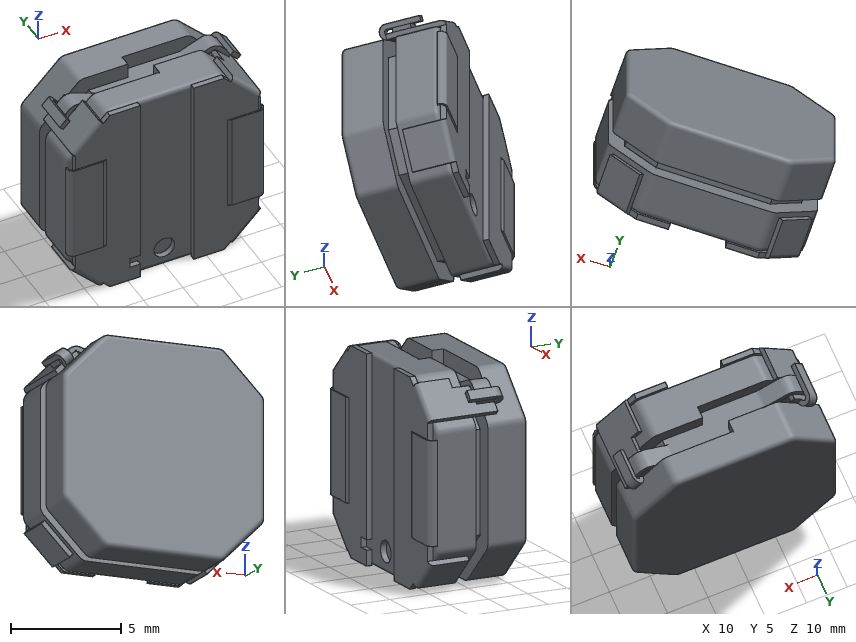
import cadquery as cq
import math


half_width = 5.0
flat_half = 2.91
gap_half = 0.3
core_back_y = 2.325
core_corner_radius = 0.5
core_face_radius = 0.225

wire_thickness = 0.25
wire_width = 0.875
coil_flat_half = 2.49
coil_side = 4.23
coil_bottom = 3.99
lead_slope = 21.3
lead_crest_x = 3.685
lead_corner_radius = 0.59
lead_slope_radius = 0.55
lead_root_radius = 0.33

window_end_x = 0.505
window_floor_z = 3.55

index_hole_radius = 0.52
index_hole_depth = 0.3
index_hole_z = -4.0

plate_thickness = 0.275
plate_inner_x = 1.363
tab_half = 1.0
tab_thickness = wire_thickness
tab_shoulder = 0.5
lower_tab_top_y = -0.565
clip_width = 0.5
left_fold_y = 0.25
right_fold_y = 0.9
clip_overhang = 0.5
notch_depth = 0.534
notch_bottom_z = -4.255
notch_height = 0.5

pad_half_length = 2.49
pad_thickness = 0.075
pad_inner_x = 3.08
pad_bevel = 0.2
pad_corner = 0.2
pad_bend_radius = 0.175
pad_height = 0.4

diagonal = (half_width + flat_half) / math.sqrt(2)
plate_side_x = (diagonal + tab_half) / math.sqrt(2)
plate_front_y = -core_back_y - plate_thickness
pad_front_y = plate_front_y - pad_thickness
lead_plane = diagonal + tab_thickness + wire_thickness
lead_crest_z = lead_plane * math.sqrt(2) - lead_crest_x - lead_corner_radius * (math.sqrt(2) - 1)
lead_slope_end_x = lead_crest_x - lead_slope_radius * math.sin(math.radians(lead_slope))
lead_slope_end_z = lead_crest_z - lead_slope_radius * (1 - math.cos(math.radians(lead_slope)))
lead_root_x = lead_slope_end_x - (lead_slope_end_z - coil_side) / math.tan(math.radians(lead_slope))


def prism(points, y_low, y_high):
    """Extrude a closed XZ outline between two Y levels."""
    outline = cq.Workplane("XZ", origin=(0, y_high, 0)).polyline(points).close()
    return outline.extrude(y_high - y_low)


def block(x_low, x_high, y_low, y_high, z_low, z_high):
    size = (x_high - x_low, y_high - y_low, z_high - z_low)
    return cq.Workplane("XY").box(*size, centered=False).translate((x_low, y_low, z_low))


def octagon(side, flat, bottom):
    """Octagon with 45 degree corners whose bottom can be nearer than its other sides."""
    bottom_flat = side - (bottom - flat)
    return [
        (flat, side), (side, flat), (side, -flat), (bottom_flat, -bottom),
        (-bottom_flat, -bottom), (-side, -flat), (-side, flat), (-flat, side),
    ]


def make_lead():
    """Right-hand lead: rises from the coil top and bends down along the corner flat."""
    slope_normal = math.radians(90 + lead_slope)
    corner_normal = math.radians(45)
    root = (lead_root_x, coil_side)
    tip = ((lead_plane + clip_width) / math.sqrt(2), (lead_plane - clip_width) / math.sqrt(2))

    def step(point, angle, distance):
        return (point[0] + distance * math.cos(angle), point[1] + distance * math.sin(angle))

    def bend_points(radius, depth, end_normal):
        """Middle and end of a bend that starts at the crest, at a depth below the outer face."""
        centre = (lead_crest_x, lead_crest_z - radius)
        middle_normal = (math.pi / 2 + end_normal) / 2
        return step(centre, middle_normal, radius - depth), step(centre, end_normal, radius - depth)

    slope_mid, slope_end = bend_points(lead_slope_radius, 0, slope_normal)
    corner_mid, corner_end = bend_points(lead_corner_radius, 0, corner_normal)
    inner_slope_mid, inner_slope_end = bend_points(lead_slope_radius, wire_thickness, slope_normal)
    inner_corner_mid, inner_corner_end = bend_points(lead_corner_radius, wire_thickness, corner_normal)
    return (
        cq.Workplane("XZ", origin=(0, wire_width, 0))
        .moveTo(*root)
        .lineTo(*slope_end)
        .threePointArc(slope_mid, (lead_crest_x, lead_crest_z))
        .threePointArc(corner_mid, corner_end)
        .lineTo(*tip)
        .lineTo(*step(tip, corner_normal, -wire_thickness))
        .lineTo(*inner_corner_end)
        .threePointArc(inner_corner_mid, (lead_crest_x, lead_crest_z - wire_thickness))
        .threePointArc(inner_slope_mid, inner_slope_end)
        .lineTo(*step(root, slope_normal, -wire_thickness))
        .close()
        .extrude(wire_width)
    )


coil_outline = octagon(coil_side, coil_flat_half, coil_bottom)
right_lead = make_lead()
left_lead = right_lead.rotate((0, 0, 0), (0, 0, 1), 180)


def make_layer():
    """Winding layer on the +Y side together with its right-hand lead."""
    layer = prism(coil_outline, 0, wire_width).union(right_lead)
    at_root = cq.selectors.NearestToPointSelector((lead_root_x, wire_width / 2, coil_side))
    return layer.edges("|Y").edges(at_root).fillet(lead_root_radius)


right_layer = make_layer()
coil = right_layer.union(right_layer.rotate((0, 0, 0), (0, 0, 1), 180))


def make_core_half():
    """Core half on the +Y side, with the coil pocket and the window for the right-hand lead."""
    core = prism(octagon(half_width, flat_half, half_width), gap_half, core_back_y)
    core = core.edges("|Y").fillet(core_corner_radius)
    core = core.faces(">Y").edges().fillet(core_face_radius)
    core = core.cut(prism(coil_outline, 0, wire_width))
    window = block(-window_end_x, half_width, 0, wire_width, window_floor_z, half_width)
    return core.cut(window)


back_core = make_core_half()
index_hole = (
    cq.Workplane("XZ", origin=(0, -core_back_y, index_hole_z))
    .circle(index_hole_radius)
    .extrude(-index_hole_depth)
)
front_core = back_core.rotate((0, 0, 0), (0, 0, 1), 180).cut(index_hole)


def make_tab(top_y):
    """Tab standing on the plate edge, lying flat on top before it is turned to its corner."""
    outer_z = diagonal + tab_thickness
    bend_end_y = plate_front_y + tab_thickness
    bend_mid = tab_thickness * math.sqrt(0.5)
    return (
        cq.Workplane("YZ", origin=(-tab_half, 0, 0))
        .moveTo(plate_front_y, diagonal)
        .threePointArc((bend_end_y - bend_mid, diagonal + bend_mid), (bend_end_y, outer_z))
        .lineTo(top_y, outer_z)
        .lineTo(top_y, diagonal)
        .close()
        .extrude(2 * tab_half)
    )


def make_upper_tab(fold_y, lead_low_y):
    """Tab narrowed beside the lead, with a clip folded back over the lead."""
    tab = make_tab(fold_y)
    shoulder_y = -wire_width
    outer_z = diagonal + tab_thickness
    tab = tab.cut(block(-tab_half, -tab_shoulder, shoulder_y, fold_y, diagonal, outer_z))
    tip_y = lead_low_y - clip_overhang
    leg_z = outer_z + wire_thickness
    leg = block(0, clip_width, tip_y, fold_y, leg_z, leg_z + tab_thickness)
    fold = (
        cq.Workplane("YZ", origin=(0, fold_y, (outer_z + leg_z) / 2))
        .circle(wire_thickness / 2 + tab_thickness)
        .circle(wire_thickness / 2)
        .extrude(clip_width)
    )
    fold = fold.intersect(block(0, clip_width, fold_y, core_back_y, diagonal, leg_z + tab_thickness))
    return tab.union(leg).union(fold)


def make_plate(fold_y, lead_low_y):
    side_z = half_width + flat_half - plate_side_x
    outline = [
        (plate_inner_x, half_width), (flat_half, half_width), (plate_side_x, side_z),
        (plate_side_x, -side_z), (flat_half, -half_width), (plate_inner_x, -half_width),
    ]
    plate = prism(outline, plate_front_y, -core_back_y)
    upper_tab = make_upper_tab(fold_y, lead_low_y).rotate((0, 0, 0), (0, 1, 0), 45)
    lower_tab = make_tab(lower_tab_top_y).rotate((0, 0, 0), (0, 1, 0), 135)
    return plate.union(upper_tab).union(lower_tab)


notch = block(
    -plate_inner_x - notch_depth, -plate_inner_x,
    plate_front_y, -core_back_y,
    notch_bottom_z, notch_bottom_z + notch_height,
)
right_plate = make_plate(right_fold_y, 0).cut(right_lead)
left_plate = make_plate(left_fold_y, -wire_width).mirror("YZ").cut(notch).cut(left_lead)


def make_pad():
    inner_x = half_width - pad_thickness
    inner_corner = pad_corner - pad_thickness * (2 - math.sqrt(2))
    end_y = pad_front_y + pad_height
    outer_corners = [(half_width - pad_corner, pad_front_y), (half_width, pad_front_y + pad_corner)]
    inner_corners = [(inner_x, plate_front_y + inner_corner), (inner_x - inner_corner, plate_front_y)]
    outline = [
        (pad_inner_x, plate_front_y), (pad_inner_x + pad_bevel, pad_front_y),
        *outer_corners, (half_width, end_y), (inner_x, end_y), *inner_corners,
    ]
    pad = cq.Workplane("XY", origin=(0, 0, -pad_half_length)).polyline(outline).close()
    pad = pad.extrude(2 * pad_half_length)
    for corners, radius in (
        (outer_corners, pad_bend_radius),
        (inner_corners, pad_bend_radius - pad_thickness),
    ):
        for x, y in corners:
            at_corner = cq.selectors.NearestToPointSelector((x, y, 0))
            pad = pad.edges("|Z").edges(at_corner).fillet(radius)
    return pad


right_pad = make_pad()
left_pad = right_pad.mirror("YZ")

result = cq.Compound.makeCompound([
    back_core.solids().val(),
    front_core.solids().val(),
    coil.solids().val(),
    left_plate.solids().val(),
    right_plate.solids().val(),
    left_pad.solids().val(),
    right_pad.solids().val(),
])